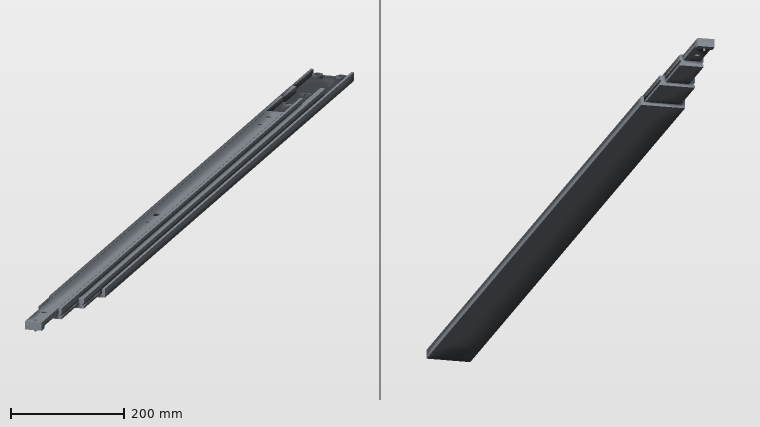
import cadquery as cq

overall_length = 1800.0
overall_height = 32.0

outer_width = 80.0
outer_wall = 5.0
outer_floor = 6.0
outer_height = 16.0
outer_length = 1500.0
stop_diameter = 20.0
stop_height = 6.0
stop_bore = 10.0
stop_spacing = 44.0
stop_inset = 18.0

moving_length = 1455.0
moving_rails = 3
front_step = (overall_length - outer_length) / moving_rails
race_radius = 2.5

second_gap = 3.0
second_width = outer_width - 2 * (outer_wall + second_gap)
second_wall = 10.0
second_floor = 6.0
second_top = 24.0
second_race_level = 13.0
second_hole_diameter = 12.0
second_hole_inset = 9.0

third_gap = 0.5
third_width = second_width - 2 * (second_wall + third_gap)
third_wall = 5.5
third_floor = 10.0
third_race_level = 19.0
third_notch_width = 16.0
third_notch_depth = 11.0

inner_gap = 0.5
inner_width = third_width - 2 * (third_wall + inner_gap)
hole_pitch = 676.0
hole_rows = 3
mount_hole_diameter = 10.0
mount_slot_length = 18.0
mount_slot_row = 1
screw_hole_diameter = 8.0
mount_hole_inset = 37.0
hole_pair_spacing = 52.0
lug_length = 16.0
lug_depth = 5.0
pin_inset = 12.0
pin_diameter = 4.0
pin_length = 5.0

second_base = outer_floor
third_base = second_base + second_floor
inner_base = third_base + third_floor

second_rear = moving_length - outer_length - front_step
third_rear = second_rear - front_step
inner_rear = third_rear - front_step
inner_front = inner_rear - moving_length


def bar(width, rear, length, base, top):
    """Rectangular bar centred on X, running from its rear end towards -Y."""
    return cq.Workplane("XY").box(width, length, top - base, centered=(True, False, False)).translate(
        (0, rear - length, base)
    )


def channel(width, wall, floor, rear, length, base, top):
    """Upward-opening channel running from its rear end towards -Y."""
    trough = bar(width - 2 * wall, rear, length, base + floor, top)
    return bar(width, rear, length, base, top).cut(trough)


def upright_cylinder(diameter, x, y, base, top):
    return cq.Workplane("XY", origin=(x, y, base)).circle(diameter / 2).extrude(top - base)


def ball_races(width, rear, length, level):
    """Pair of round bars that cut a half-round race along both sides of a rail."""
    places = [(-width / 2, level), (width / 2, level)]
    return cq.Workplane("XZ", origin=(0, rear, 0)).pushPoints(places).circle(race_radius).extrude(length)


def make_outer_rail():
    rail = channel(outer_width, outer_wall, outer_floor, 0, outer_length, 0, outer_height)
    stop_top = outer_floor + stop_height
    for x in (-stop_spacing / 2, stop_spacing / 2):
        rail = rail.union(upright_cylinder(stop_diameter, x, -stop_inset, outer_floor, stop_top))
        rail = rail.cut(upright_cylinder(stop_bore, x, -stop_inset, outer_floor, stop_top))
    return rail


def make_second_rail():
    rail = channel(
        second_width, second_wall, second_floor, second_rear, moving_length, second_base, second_top
    )
    rail = rail.cut(ball_races(second_width, second_rear, moving_length, second_race_level))
    hole_y = second_rear - second_hole_inset
    return rail.cut(upright_cylinder(second_hole_diameter, 0, hole_y, second_base, third_base))


def make_third_rail():
    rail = channel(
        third_width, third_wall, third_floor, third_rear, moving_length, third_base, overall_height
    )
    rail = rail.cut(ball_races(third_width, third_rear, moving_length, third_race_level))
    return rail.cut(bar(third_notch_width, third_rear, third_notch_depth, third_base, inner_base))


def mounting_slot(y):
    slot = cq.Workplane("XY", origin=(0, y, inner_base)).slot2D(mount_slot_length, mount_hole_diameter, 90)
    return slot.extrude(overall_height - inner_base)


def make_inner_rail():
    rail = bar(inner_width, inner_rear, moving_length, inner_base, overall_height)
    for row in range(hole_rows):
        mount_y = inner_rear - mount_hole_inset - row * hole_pitch
        screw_y = mount_y - hole_pair_spacing
        if row == mount_slot_row:
            rail = rail.cut(mounting_slot(mount_y))
        else:
            rail = rail.cut(upright_cylinder(mount_hole_diameter, 0, mount_y, inner_base, overall_height))
        rail = rail.cut(upright_cylinder(screw_hole_diameter, 0, screw_y, inner_base, overall_height))
    lug_base = inner_base - lug_depth
    lug_rear = inner_front + lug_length
    pin_y = inner_front + pin_inset
    rail = rail.union(bar(inner_width, lug_rear, lug_length, lug_base, inner_base))
    return rail.union(upright_cylinder(pin_diameter, 0, pin_y, lug_base - pin_length, lug_base))


outer_rail = make_outer_rail()
second_rail = make_second_rail()
third_rail = make_third_rail()
inner_rail = make_inner_rail()

result = cq.Compound.makeCompound(
    [outer_rail.val(), second_rail.val(), third_rail.val(), inner_rail.val()]
)